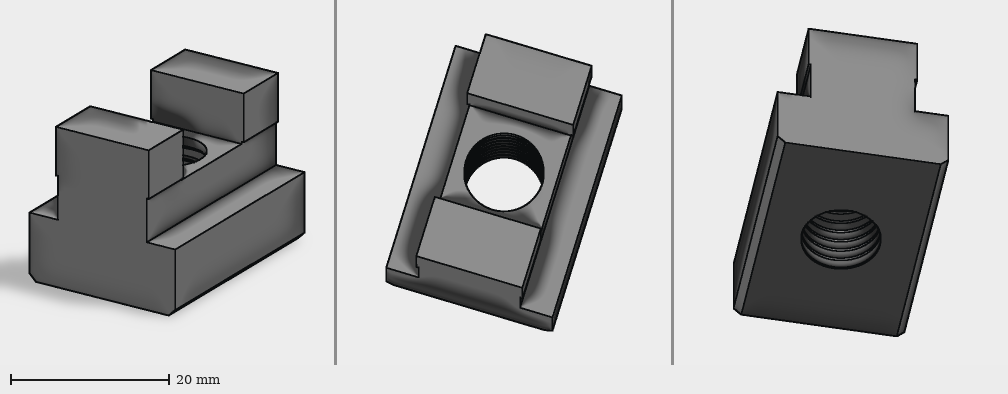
import cadquery as cq
import math

length = 30.0
width = 22.0
height = 22.0

flange_height = 9.3
flange_chamfer = 1.0
neck_width = 13.4
head_width = 14.0
head_bottom = 15.3

slot_width = 14.0
slot_floor = 15.0

bore_diameter = 10.08
thread_diameter = 12.0
thread_pitch = 1.75
groove_mouth = 0.75 * thread_pitch
flank_angle = math.radians(30)
groove_count = 8
top_groove_depth = 1.9


def make_body():
    """T-shaped profile run along Y, with its two lower long edges chamfered."""
    half_profile = [
        (0, 0),
        (width / 2 - flange_chamfer, 0),
        (width / 2, flange_chamfer),
        (width / 2, flange_height),
        (neck_width / 2, flange_height),
        (neck_width / 2, head_bottom),
        (head_width / 2, head_bottom),
        (head_width / 2, height),
        (0, height),
    ]
    return cq.Workplane("XZ").polyline(half_profile).mirrorY().extrude(length / 2, both=True)


def make_slot():
    """Cutter for the slot that crosses the head along X."""
    floor_plane = cq.Workplane("XY", origin=(0, 0, slot_floor))
    return floor_plane.rect(width, slot_width).extrude(height - slot_floor)


def make_threaded_hole():
    """Cutter for the through bore and its thread grooves, revolved about Z."""
    bore_radius = bore_diameter / 2
    root_radius = thread_diameter / 2
    half_mouth = groove_mouth / 2
    half_root = half_mouth - (root_radius - bore_radius) * math.tan(flank_angle)
    bottom_groove = slot_floor - top_groove_depth - (groove_count - 1) * thread_pitch

    outline = [(0, 0), (bore_radius, 0)]
    for i in range(groove_count):
        middle = bottom_groove + i * thread_pitch
        outline += [
            (bore_radius, middle - half_mouth),
            (root_radius, middle - half_root),
            (root_radius, middle + half_root),
            (bore_radius, middle + half_mouth),
        ]
    outline += [(bore_radius, slot_floor), (0, slot_floor)]
    return cq.Workplane("XZ").polyline(outline).close().revolve(360, (0, 0), (0, 1))


result = make_body().cut(make_slot()).cut(make_threaded_hole())